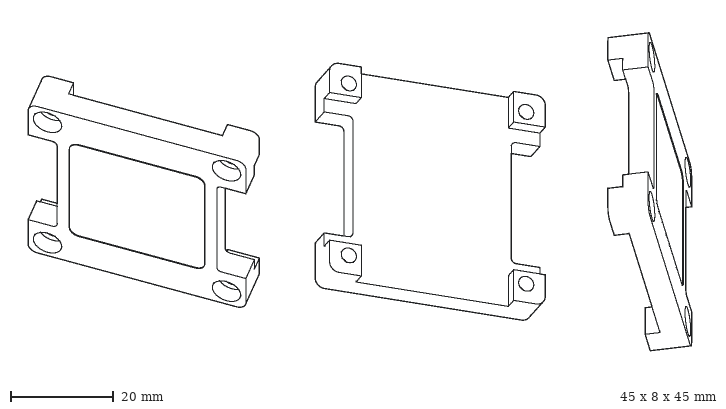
import cadquery as cq

side = 45.0
total_depth = 8.0
foot_depth = 2.95
plate_depth = total_depth - foot_depth
corner_radius = 2.0

lug_height = 9.5
notch_depth = 6.0
notch_radius = 1.0

foot_side = 6.6

hole_inset = 4.0
hole_diameter = 3.15
counterbore_diameter = 5.85
counterbore_depth = 3.2

recess_side = 28.0
recess_radius = 2.0
recess_depth = 0.2


def front_block(width, height, depth):
    """Centred block running from the front face toward the back."""
    return cq.Workplane("XZ").rect(width, height).extrude(-depth)


def make_blank():
    """Full-depth square with its outer corners rounded."""
    return front_block(side, side, total_depth).edges("|Y").fillet(corner_radius)


def make_side_notch(direction):
    """Cutter for one side notch; its outer half lies beyond the part."""
    notch = front_block(2 * notch_depth, side - 2 * lug_height, total_depth)
    return notch.edges("|Y").fillet(notch_radius).translate((direction * side / 2, 0, 0))


def make_back_relief():
    """Cross-shaped cutter that leaves a foot at each corner of the back."""
    gap = side - 2 * foot_side
    cross = front_block(side, gap, foot_depth).union(front_block(gap, side, foot_depth))
    return cross.translate((0, plate_depth, 0))


def make_screw_holes():
    """Through holes with counterbores opening at the front face."""
    spacing = side - 2 * hole_inset
    centres = cq.Workplane("XZ").rarray(spacing, spacing, 2, 2)
    through_holes = centres.circle(hole_diameter / 2).extrude(-total_depth)
    counterbores = centres.circle(counterbore_diameter / 2).extrude(-counterbore_depth)
    return through_holes.union(counterbores)


def make_front_recess():
    return front_block(recess_side, recess_side, recess_depth).edges("|Y").fillet(recess_radius)


result = make_blank()
for direction in (-1, 1):
    result = result.cut(make_side_notch(direction))
result = result.cut(make_back_relief())
result = result.cut(make_screw_holes())
result = result.cut(make_front_recess())